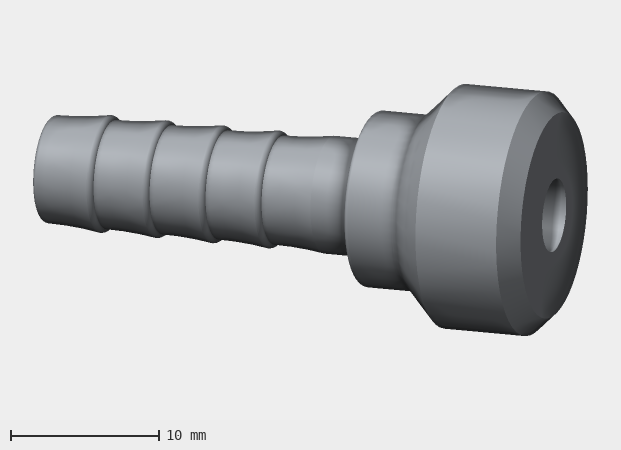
import cadquery as cq
import math

length = 36.0
bore_radius = 5.0 / 2
bore_chamfer = 0.25
tail_radius = 8.0 / 2
collar_radius = 12.0 / 2
head_radius = 16.6 / 2

tip_radius = 3.67
tip_fillet = 0.3
barb_pitch = 4.0
barb_count = 4
root_radius = 3.7
crest_round = 0.45

collar_x = 23.0
collar_fillet = 0.3
tail_fillet = 0.83
head_x = 28.95
cone_fillet = 0.72
end_chamfer = 1.3

crest_drop = tail_radius - root_radius
crest_back = math.sqrt(crest_round**2 - (crest_round - crest_drop) ** 2)


def arc_midpoint(start, end, center):
    """Midpoint of the circular arc from start to end about center."""
    dx = start[0] + end[0] - 2 * center[0]
    dr = start[1] + end[1] - 2 * center[1]
    radius = math.dist(start, center)
    scale = radius / math.hypot(dx, dr)
    return (center[0] + dx * scale, center[1] + dr * scale)


def add_arc(outline, start, end, center):
    return outline.threePointArc(arc_midpoint(start, end, center), end)


def add_flank(outline, start, crest):
    """Concave arc that leaves start parallel to the axis and rises to crest."""
    run = crest[0] - start[0]
    rise = crest[1] - start[1]
    radius = (run**2 + rise**2) / (2 * rise)
    return add_arc(outline, start, crest, (start[0], start[1] + radius))


def add_barbs(outline):
    """Barbs with rounded crests, then a last flank that meets the plain tail."""
    start = (tip_fillet, tip_radius)
    for i in range(1, barb_count + 1):
        crest = (i * barb_pitch, tail_radius)
        root = (crest[0] + crest_back, root_radius)
        outline = add_flank(outline, start, crest)
        outline = add_arc(outline, crest, root, (crest[0], tail_radius - crest_round))
        start = root
    return add_flank(outline, start, ((barb_count + 1) * barb_pitch, tail_radius))


def build_body():
    outline = cq.Workplane("XY").moveTo(0, 0).lineTo(0, tip_radius - tip_fillet)
    outline = add_arc(
        outline,
        (0, tip_radius - tip_fillet),
        (tip_fillet, tip_radius),
        (tip_fillet, tip_radius - tip_fillet),
    )
    outline = add_barbs(outline)

    fillet_start = (collar_x - tail_fillet, tail_radius)
    fillet_end = (collar_x, tail_radius + tail_fillet)
    outline = outline.lineTo(*fillet_start)
    outline = add_arc(outline, fillet_start, fillet_end, (fillet_start[0], fillet_end[1]))

    edge_start = (collar_x, collar_radius - collar_fillet)
    edge_end = (collar_x + collar_fillet, collar_radius)
    outline = outline.lineTo(*edge_start)
    outline = add_arc(outline, edge_start, edge_end, (edge_end[0], edge_start[1]))

    cone_x = head_x - (head_radius - collar_radius)
    blend_x = cone_x - cone_fillet * math.tan(math.pi / 8)
    blend_start = (blend_x, collar_radius)
    blend_end = (
        blend_x + cone_fillet * math.sin(math.pi / 4),
        collar_radius + cone_fillet * (1 - math.cos(math.pi / 4)),
    )
    outline = outline.lineTo(*blend_start)
    outline = add_arc(outline, blend_start, blend_end, (blend_x, collar_radius + cone_fillet))

    outline = outline.lineTo(head_x, head_radius)
    outline = outline.lineTo(length - end_chamfer, head_radius)
    outline = outline.lineTo(length, head_radius - end_chamfer)
    outline = outline.lineTo(length, 0).close()
    return outline.revolve(360, (0, 0, 0), (1, 0, 0))


def build_bore():
    """Through bore with a chamfered mouth at the tip."""
    return (
        cq.Workplane("XY")
        .lineTo(0, bore_radius + bore_chamfer)
        .lineTo(bore_chamfer, bore_radius)
        .lineTo(length, bore_radius)
        .lineTo(length, 0)
        .close()
        .revolve(360, (0, 0, 0), (1, 0, 0))
    )


result = build_body().cut(build_bore())